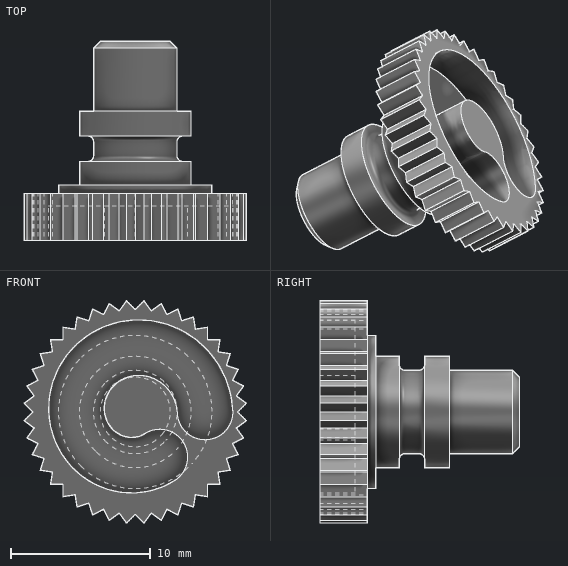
import cadquery as cq
import math

overall_width = 15.95
tooth_count = 40
tooth_pitch = 360.0 / tooth_count
wheel_thickness = 3.4

flange_radius = 5.5
flange_length = 0.6
collar_radius = 4.0
front_collar_length = 1.69
groove_length = 1.8
groove_fillet = 0.4
rear_collar_length = 1.8
shaft_radius = 3.0
shaft_length = 5.01
shaft_chamfer = 0.5

pocket_depth = 2.5
slot_half_width = 2.0
spiral_start_radius = 5.01
spiral_lead = 1.6
spiral_sweep = 300.0


def polar(radius, degrees):
    """Point at a given radius and angle around the part axis."""
    angle = math.radians(degrees)
    return (radius * math.cos(angle), radius * math.sin(angle))


def make_wheel():
    """Wheel disc with 90 degree V notches between sharp teeth."""
    envelope_half = overall_width / 2
    half_pitch = tooth_pitch / 2
    tip_radius = envelope_half / math.cos(math.radians(half_pitch))
    notch_depth = envelope_half * math.tan(math.radians(half_pitch))
    root_radius = envelope_half - notch_depth

    outline = []
    for tooth in range(tooth_count):
        root_angle = tooth * tooth_pitch
        outline.append(polar(root_radius, root_angle))
        outline.append(polar(tip_radius, root_angle + half_pitch))
    return cq.Workplane("XZ").polyline(outline).close().extrude(-wheel_thickness)


def make_shaft():
    """Flange, grooved collar and chamfered shaft, turned about the Y axis."""
    flange_end = wheel_thickness + flange_length
    groove_start = flange_end + front_collar_length
    groove_end = groove_start + groove_length
    collar_end = groove_end + rear_collar_length
    shaft_end = collar_end + shaft_length
    fillet_edge = shaft_radius + groove_fillet

    profile = (
        cq.Workplane("XY")
        .moveTo(0, wheel_thickness)
        .lineTo(flange_radius, wheel_thickness)
        .lineTo(flange_radius, flange_end)
        .lineTo(collar_radius, flange_end)
        .lineTo(collar_radius, groove_start)
        .lineTo(fillet_edge, groove_start)
        .radiusArc((shaft_radius, groove_start + groove_fillet), groove_fillet)
        .lineTo(shaft_radius, groove_end - groove_fillet)
        .radiusArc((fillet_edge, groove_end), groove_fillet)
        .lineTo(collar_radius, groove_end)
        .lineTo(collar_radius, collar_end)
        .lineTo(shaft_radius, collar_end)
        .lineTo(shaft_radius, shaft_end - shaft_chamfer)
        .lineTo(shaft_radius - shaft_chamfer, shaft_end)
        .lineTo(0, shaft_end)
        .close()
    )
    return profile.revolve(360, (0, 0, 0), (0, 1, 0))


def spiral_point(degrees, offset):
    """Point on the spiral centre line, shifted radially by an offset."""
    radius = spiral_start_radius - spiral_lead * degrees / 360.0
    return polar(radius + offset, degrees)


def spiral_wall(start, end, offset):
    """Points along one wall of the slot, both ends included."""
    step_count = 30
    step = (end - start) / step_count
    return [spiral_point(start + i * step, offset) for i in range(step_count + 1)]


def make_pocket():
    """Spiral slot with rounded ends, cut from the front face."""
    outer_wall = spiral_wall(0, spiral_sweep, slot_half_width)
    inner_wall = spiral_wall(spiral_sweep, 0, -slot_half_width)

    start_centre = spiral_point(0, 0)
    start_bulge = polar(slot_half_width, -90)
    start_cap = (start_centre[0] + start_bulge[0], start_centre[1] + start_bulge[1])

    return (
        cq.Workplane("XZ")
        .moveTo(*outer_wall[0])
        .spline(outer_wall[1:], includeCurrent=True)
        .tangentArcPoint(inner_wall[0], relative=False)
        .spline(inner_wall[1:], includeCurrent=True)
        .threePointArc(start_cap, outer_wall[0])
        .close()
        .extrude(-pocket_depth)
    )


result = make_wheel().union(make_shaft()).cut(make_pocket())